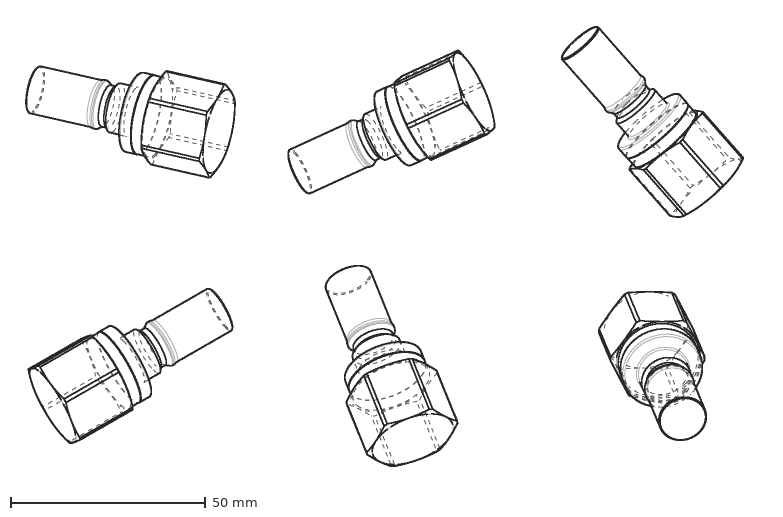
import cadquery as cq
import math

total_length = 51.15
bead_start_x = 17.0
bead_crest_x = 17.9
bead_round_x = 18.35
neck_start_x = 19.9
neck_end_x = 21.45
shoulder_x = 22.35
flange_x = 27.45
flange_end_x = 30.85
hex_start_x = 34.05

plug_radius = 12.5 / 2
bead_radius = 12.95 / 2
neck_radius = 11.0 / 2
shoulder_radius = 13.05 / 2
flange_radius = 21.0 / 2
collar_radius = 20.85 / 2

tip_chamfer = 0.25
bead_round = 0.5
bead_round_angle = math.radians(36)
root_fillet = 0.45
flange_round = 0.45
flange_step_length = 0.15

across_flats = 22.0
corner_radius = 24.8 / 2
hex_turn = 5.5
hex_bevel_length = 0.45
hex_face_radius = across_flats / 2


def arc_mid(center, radius, angle):
    """Point of an arc at an angle in degrees from the +X direction of the profile."""
    a = math.radians(angle)
    return center[0] + radius * math.cos(a), center[1] + radius * math.sin(a)


def turned_body():
    """Plug, locking groove, flange and collar as one revolved profile."""
    bead_center = (bead_round_x, bead_radius - bead_round)
    bead_angle = math.degrees(bead_round_angle)
    bead_mid = arc_mid(bead_center, bead_round, 90 - bead_angle / 2)
    bead_end = arc_mid(bead_center, bead_round, 90 - bead_angle)
    root_mid = arc_mid((flange_x - root_fillet, shoulder_radius + root_fillet), root_fillet, -45)
    flange_mid = arc_mid((flange_x + flange_round, flange_radius - flange_round), flange_round, 135)
    profile = (
        cq.Workplane("XY")
        .moveTo(0, 0)
        .lineTo(0, plug_radius - tip_chamfer)
        .lineTo(tip_chamfer, plug_radius)
        .lineTo(bead_start_x, plug_radius)
        .lineTo(bead_crest_x, bead_radius)
        .lineTo(bead_round_x, bead_radius)
        .threePointArc(bead_mid, bead_end)
        .lineTo(neck_start_x, neck_radius)
        .lineTo(neck_end_x, neck_radius)
        .lineTo(shoulder_x, shoulder_radius)
        .lineTo(flange_x - root_fillet, shoulder_radius)
        .threePointArc(root_mid, (flange_x, shoulder_radius + root_fillet))
        .lineTo(flange_x, flange_radius - flange_round)
        .threePointArc(flange_mid, (flange_x + flange_round, flange_radius))
        .lineTo(flange_end_x, flange_radius)
        .lineTo(flange_end_x + flange_step_length, collar_radius)
        .lineTo(hex_start_x, collar_radius)
        .lineTo(hex_start_x, 0)
        .close()
    )
    return profile.revolve(360, (0, 0, 0), (1, 0, 0))


def hexagon():
    """Hexagonal end with turned corners and a conical bevel at both faces."""
    prism = (
        cq.Workplane("YZ", origin=(hex_start_x, 0, 0))
        .polygon(6, across_flats / math.cos(math.pi / 6))
        .extrude(total_length - hex_start_x)
        .rotate((0, 0, 0), (1, 0, 0), hex_turn)
    )
    envelope = (
        cq.Workplane("XY")
        .moveTo(hex_start_x, 0)
        .lineTo(hex_start_x, hex_face_radius)
        .lineTo(hex_start_x + hex_bevel_length, corner_radius)
        .lineTo(total_length - hex_bevel_length, corner_radius)
        .lineTo(total_length, hex_face_radius)
        .lineTo(total_length, 0)
        .close()
        .revolve(360, (0, 0, 0), (1, 0, 0))
    )
    return prism.intersect(envelope)


result = turned_body().union(hexagon())